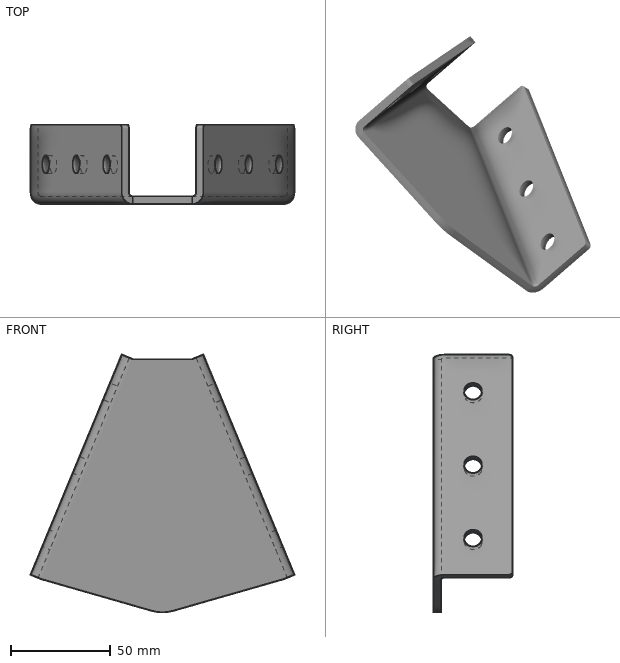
import cadquery as cq
import math

width = 132.9
depth = 40.0
thickness = 4.0
inner_bend_radius = 2.0
flange_length = 120.0
flange_tilt = 22.5
flange_corner_radius = 2.0
height = 129.9
bottom_edge_slope = 16.0
nose_radius = 20.0
hole_diameter = 9.0
hole_spacing = 40.0
hole_count = 3

bend_radius = inner_bend_radius + thickness
tilt = math.radians(flange_tilt)
flange_bottom_x = -width / 2
flange_bottom_z = height - flange_length * math.cos(tilt)

bend_bottom_x = flange_bottom_x + bend_radius * math.cos(tilt)
bend_bottom_z = flange_bottom_z - bend_radius * math.sin(tilt)
bend_top_x = bend_bottom_x + flange_length * math.sin(tilt)
bend_top_z = bend_bottom_z + flange_length * math.cos(tilt)
nose_z = bend_bottom_z + bend_bottom_x * math.tan(math.radians(bottom_edge_slope))


def make_plate():
    """Flat front plate between the bend lines, with a rounded nose at the bottom."""
    outline = [
        (bend_top_x, bend_top_z),
        (-bend_top_x, bend_top_z),
        (-bend_bottom_x, bend_bottom_z),
        (0, nose_z),
        (bend_bottom_x, bend_bottom_z),
    ]
    plate = cq.Workplane("XZ").polyline(outline).close().extrude(-thickness)
    nose_edge = plate.edges("|Y").edges("<Z")
    return nose_edge.fillet(nose_radius)


def make_left_flange():
    """Bend and drilled flange, built upright with its outer face on X = 0, then tilted."""
    flange = (
        cq.Workplane("XY")
        .moveTo(bend_radius, 0)
        .radiusArc((0, bend_radius), bend_radius)
        .lineTo(0, depth)
        .lineTo(thickness, depth)
        .lineTo(thickness, bend_radius)
        .radiusArc((bend_radius, thickness), -inner_bend_radius)
        .close()
        .extrude(flange_length)
    )
    flange = flange.faces(">Y").edges("|X").fillet(flange_corner_radius)

    middle = flange_length / 2
    first_offset = -hole_spacing * (hole_count - 1) / 2
    centers = [
        (depth / 2, middle + first_offset + i * hole_spacing)
        for i in range(hole_count)
    ]
    holes = cq.Workplane("YZ").pushPoints(centers).circle(hole_diameter / 2).extrude(thickness)
    flange = flange.cut(holes)

    flange = flange.rotate((0, 0, 0), (0, 1, 0), flange_tilt)
    return flange.translate((flange_bottom_x, 0, flange_bottom_z))


left_flange = make_left_flange()
right_flange = left_flange.mirror("YZ")
result = make_plate().union(left_flange).union(right_flange)